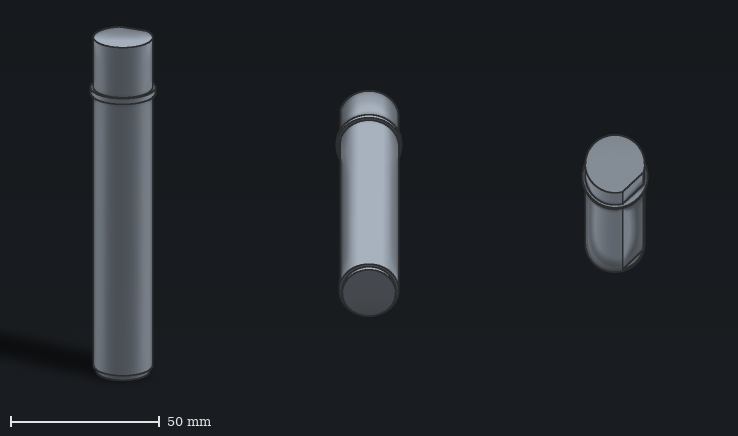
import cadquery as cq

total_length = 120.0
shaft_diameter = 20.0

spigot_diameter = 18.0
spigot_length = 2.0

collar_diameter = 22.0
collar_thickness = 2.0
collar_top = total_length - 18.0

flat_offset = 8.8
round_band_height = 3.0
flat_bottom = spigot_length + round_band_height


def cylinder(diameter, bottom, top):
    """Upright cylinder on the Z axis between two heights."""
    return cq.Workplane("XY").workplane(offset=bottom).circle(diameter / 2).extrude(top - bottom)


def flat_cutter():
    """Block that removes the shaft material beyond the flat."""
    return cq.Workplane("XY").box(
        shaft_diameter,
        shaft_diameter,
        total_length - flat_bottom,
        centered=(True, False, False),
    ).translate((0, flat_offset, flat_bottom))


shaft = cylinder(shaft_diameter, spigot_length, total_length).cut(flat_cutter())
spigot = cylinder(spigot_diameter, 0, spigot_length)
collar = cylinder(collar_diameter, collar_top - collar_thickness, collar_top)

result = shaft.union(spigot).union(collar)